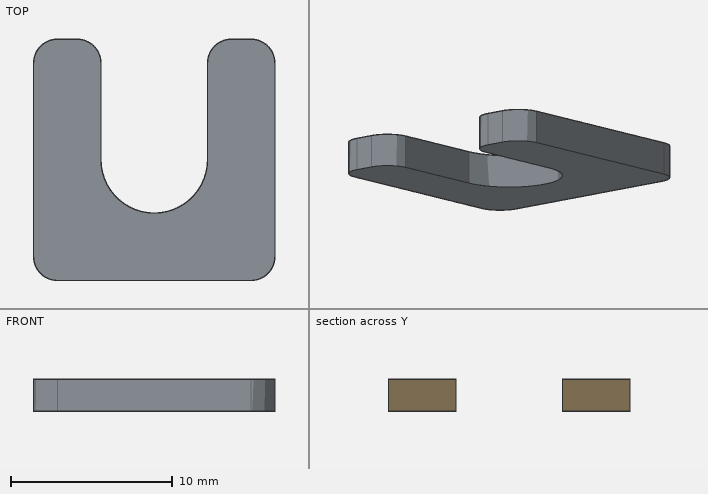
import cadquery as cq

side = 15.0
thickness = 2.0
corner_radius = 1.5
slot_width = 6.6


def square_plate():
    """Square plate centred on the Z axis, resting on Z = 0."""
    return cq.Workplane("XY").rect(side, side).extrude(thickness)


def open_slot():
    """Slot with a round end centred on the plate, open through the +Y edge."""
    half_width = slot_width / 2
    open_end = side / 2
    return (
        cq.Workplane("XY")
        .moveTo(-half_width, open_end)
        .lineTo(-half_width, 0)
        .threePointArc((0, -half_width), (half_width, 0))
        .lineTo(half_width, open_end)
        .close()
        .extrude(thickness)
    )


def round_corners(body):
    """Round the four plate corners and the two corners at the slot mouth."""
    outer_corners = body.edges("|Z and (<Y or >Y)")
    return outer_corners.fillet(corner_radius)


result = round_corners(square_plate().cut(open_slot()))